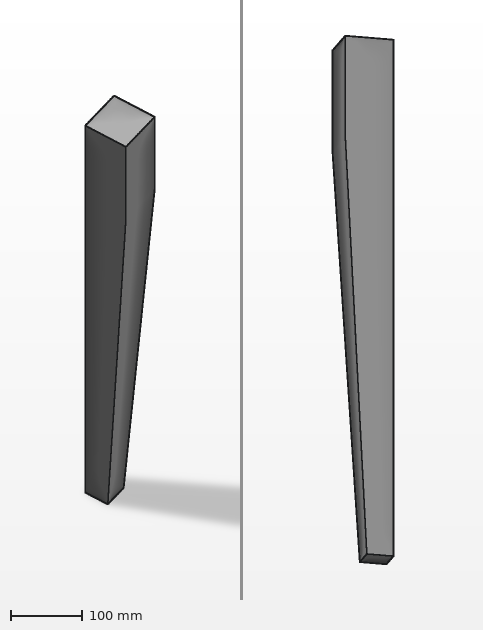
import cadquery as cq

height = 762.0
top_width = 70.0
foot_width = 39.0
block_height = 150.0
taper_start = height - block_height


def tapered_prism(plane):
    """Leg side profile, extruded across the full top width."""
    outline = [
        (0, 0),
        (foot_width, 0),
        (top_width, taper_start),
        (top_width, height),
        (0, height),
    ]
    return cq.Workplane(plane).polyline(outline).close()


taper_along_x = tapered_prism("XZ").extrude(-top_width)
taper_along_y = tapered_prism("YZ").extrude(top_width)

result = taper_along_x.intersect(taper_along_y)